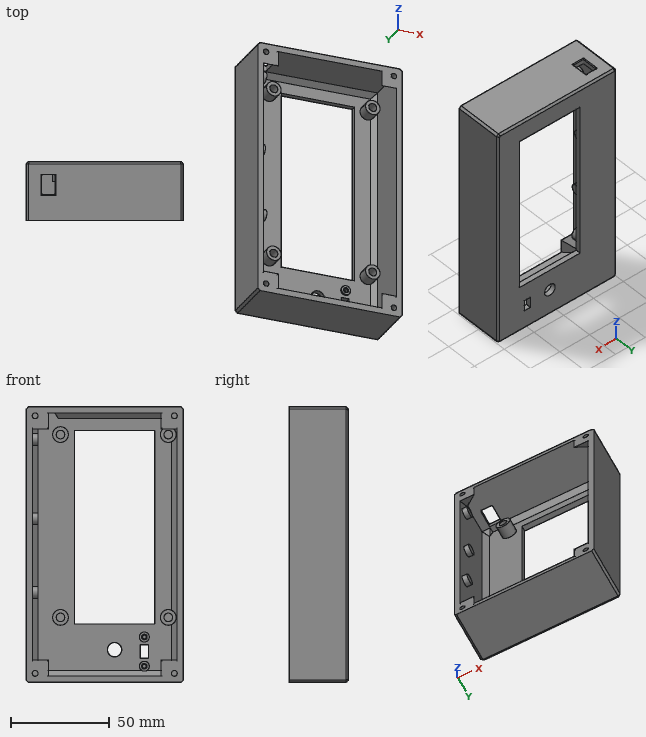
import cadquery as cq

WIDTH = 80.0
DEPTH = 30.0
HEIGHT = 140.0
CORNER_CHAMFER = 1.3
BACK_CHAMFER = 1.1

WALL = 3.2
PANEL = 3.1
STRIP = 2.8
PANEL_Y = DEPTH - PANEL
STRIP_END = WALL + STRIP

GUSSET_SIDE = 11.3
SCREW_INSET = 4.6
SCREW_DIAMETER = 3.0
SCREW_DEPTH = 4.2

WINDOW_LEFT = 24.6
WINDOW_WIDTH = 40.6
WINDOW_BOTTOM = 29.8
WINDOW_HEIGHT = 98.0
STANDOFF_DIAMETER = 8.0
STANDOFF_BORE = 4.3
STANDOFF_HEIGHT = 7.0
STANDOFF_XS = (17.5, 72.2)
STANDOFF_ZS = (33.0, 125.9)

BUTTON_DIAMETER = 7.1
BUTTON_X = WINDOW_LEFT + WINDOW_WIDTH / 2
BUTTON_Z = 16.7

SWITCH_X = 60.0
SWITCH_Z = 15.7
SLOT_WIDTH = 4.0
SLOT_HEIGHT = 6.7
POST_OFFSET = 7.4
POST_DIAMETER = 5.0
POST_HEIGHT = 1.0
POST_BORE = 2.0
POST_COUNTERSINK = 2.8
POST_BORE_DEPTH = 2.5

PIN_DIAMETER = 6.0
PIN_AXES = ((5.3, 123.3), (7.1, 83.2), (5.3, 45.6))

PORT_X = 11.3
PORT_WIDTH = 6.7
PORT_FRONT = 13.3
PORT_BACK = 23.4
PORT_CORNER = 0.5
PORT_RIM = 0.49
RELIEF_WIDTH = 10.1


def box(x0, x1, y0, y1, z0, z1):
    """Box between two opposite corners."""
    return cq.Workplane("XY").box(x1 - x0, y1 - y0, z1 - z0, centered=False).translate((x0, y0, z0))


def rod(x, z, diameter, y0, y1):
    """Cylinder along Y from y0 to y1."""
    return (
        cq.Workplane("XZ", origin=(x, y0, z))
        .circle(diameter / 2)
        .extrude(y0 - y1)
    )


def shell():
    """Chamfered block with the cavity removed."""
    body = box(0, WIDTH, 0, DEPTH, 0, HEIGHT)
    body = body.edges("|Y").chamfer(CORNER_CHAMFER)
    body = body.faces(">Y").edges().chamfer(BACK_CHAMFER)
    cavity = box(WALL, WIDTH - WALL, 0, PANEL_Y, WALL, HEIGHT - WALL)
    return body.cut(cavity.faces(">Y").edges().chamfer(STRIP))


def gusset():
    """Block filling the lower left front corner, shrinking at 45 degrees towards the walls."""
    sloped = (
        cq.Workplane("XZ")
        .rect(GUSSET_SIDE, GUSSET_SIDE, centered=False)
        .workplane(offset=WALL - GUSSET_SIDE)
        .rect(WALL, WALL, centered=False)
        .loft(ruled=True)
    )
    return sloped.intersect(
        box(CORNER_CHAMFER, GUSSET_SIDE, 0, GUSSET_SIDE, CORNER_CHAMFER, GUSSET_SIDE)
    )


def in_four_corners(feature):
    """Feature of the lower left corner mirrored into all four corners."""
    pair = feature.union(feature.mirror("YZ", (WIDTH / 2, 0, 0)))
    return pair.union(pair.mirror("XY", (0, 0, HEIGHT / 2)))


def add_post(body, x, z, diameter, height):
    """Body with a round post on the back panel, rooted halfway into it."""
    return body.union(rod(x, z, diameter, PANEL_Y - height, PANEL_Y + PANEL / 2))


def pin(y, z):
    """Round pin on the left wall, as long as the strip is wide."""
    return (
        cq.Workplane("YZ", origin=(WALL / 2, y, z))
        .circle(PIN_DIAMETER / 2)
        .extrude(STRIP_END - WALL / 2)
    )


def switch_bore(z):
    """Blind countersunk bore in a switch post."""
    tip = PANEL_Y - POST_HEIGHT
    return (
        cq.Workplane("XZ", origin=(SWITCH_X, tip, z))
        .circle(POST_COUNTERSINK / 2)
        .workplane(offset=(POST_BORE - POST_COUNTERSINK) / 2)
        .circle(POST_BORE / 2)
        .loft()
        .union(rod(SWITCH_X, z, POST_BORE, tip, tip + POST_BORE_DEPTH))
    )


def port():
    """Connector opening with a sloped rim on three sides and a flared relief inside."""
    left, right = PORT_X - PORT_WIDTH / 2, PORT_X + PORT_WIDTH / 2
    opening = box(left, right, PORT_FRONT, PORT_BACK, HEIGHT - WALL, HEIGHT)
    opening = opening.edges("|Z").fillet(PORT_CORNER)
    length = PORT_BACK - PORT_FRONT
    rim = (
        cq.Workplane("XY", origin=(PORT_X, PORT_BACK, HEIGHT))
        .center(0, -(length + PORT_RIM) / 2)
        .rect(PORT_WIDTH + 2 * PORT_RIM, length + PORT_RIM)
        .workplane(offset=-PORT_RIM)
        .center(0, PORT_RIM / 2)
        .rect(PORT_WIDTH, length)
        .loft(ruled=True)
    )
    relief = (
        cq.Workplane("XZ", origin=(PORT_X, PORT_FRONT, 0))
        .moveTo(-PORT_WIDTH / 2, HEIGHT - WALL)
        .lineTo(PORT_WIDTH / 2, HEIGHT - WALL)
        .lineTo(RELIEF_WIDTH / 2, HEIGHT - STRIP_END)
        .lineTo(-RELIEF_WIDTH / 2, HEIGHT - STRIP_END)
        .close()
        .extrude(PORT_FRONT - PANEL_Y)
    )
    return opening.union(rim).union(relief)


result = shell().union(in_four_corners(gusset()))
result = result.cut(in_four_corners(rod(SCREW_INSET, SCREW_INSET, SCREW_DIAMETER, 0, SCREW_DEPTH)))

result = result.cut(port())

window_right = WINDOW_LEFT + WINDOW_WIDTH
window_top = WINDOW_BOTTOM + WINDOW_HEIGHT
result = result.cut(box(WINDOW_LEFT, window_right, 0, DEPTH, WINDOW_BOTTOM, window_top))
result = result.cut(rod(BUTTON_X, BUTTON_Z, BUTTON_DIAMETER, 0, DEPTH))
slot_left = SWITCH_X - SLOT_WIDTH / 2
slot_bottom = SWITCH_Z - SLOT_HEIGHT / 2
result = result.cut(
    box(slot_left, slot_left + SLOT_WIDTH, 0, DEPTH, slot_bottom, slot_bottom + SLOT_HEIGHT)
)

for x in STANDOFF_XS:
    for z in STANDOFF_ZS:
        result = add_post(result, x, z, STANDOFF_DIAMETER, STANDOFF_HEIGHT)
        result = result.cut(rod(x, z, STANDOFF_BORE, PANEL_Y - STANDOFF_HEIGHT, PANEL_Y))

for y, z in PIN_AXES:
    result = result.union(pin(y, z))

for z in (SWITCH_Z - POST_OFFSET, SWITCH_Z + POST_OFFSET):
    result = add_post(result, SWITCH_X, z, POST_DIAMETER, POST_HEIGHT)
    result = result.cut(switch_bore(z))